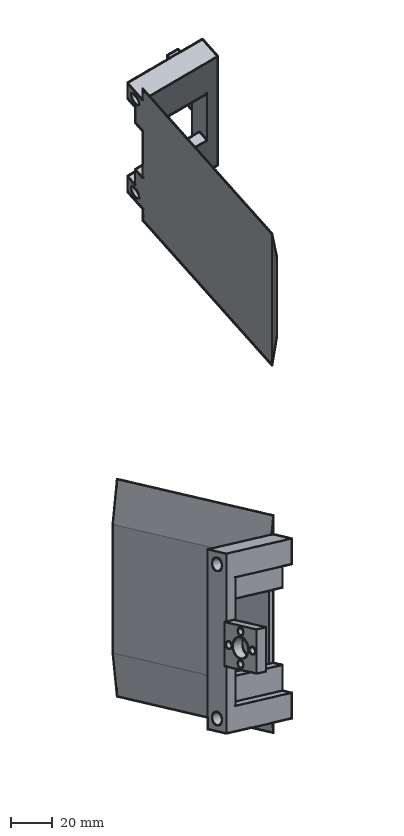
import cadquery as cq

total_length = 140.9
total_depth = 45.8
plate_height = 107.5

bar_width = 12.7
step = bar_width / 2
frame_height = 88.9
frame_depth = 44.5
arm_hole_diameter = 6.6

tab_side = 21.8
tab_thickness = 6.5
tab_bore_diameter = 10.5
tab_screw_diameter = 3.8
tab_screw_radius = 8.0

plate_thickness = 3.0

frame_left = tab_side
frame_right = frame_left + bar_width
recess_height = frame_height - 2 * bar_width
window_height = recess_height - 2 * bar_width
window_depth = frame_depth - step


def block(x_start, x_end, y_start, y_end, height):
    """Box between the given X and Y limits, centred on Z = 0."""
    return (
        cq.Workplane("XY")
        .box(x_end - x_start, y_end - y_start, height, centered=(False, False, True))
        .translate((x_start, y_start, 0))
    )


def hole(x, z, diameter):
    """Cylinder along Y that passes through the full depth of the part."""
    return cq.Workplane("XZ").center(x, z).circle(diameter / 2).extrude(-total_depth)


def make_frame():
    frame = block(frame_left, frame_right, 0, frame_depth, frame_height)
    frame = frame.cut(block(frame_left, frame_left + step, 0, window_depth, recess_height))
    frame = frame.cut(block(frame_left, frame_right, 0, window_depth, window_height))
    hole_height = (frame_height - bar_width) / 2
    for z in (-hole_height, hole_height):
        frame = frame.cut(hole(frame_left + bar_width / 2, z, arm_hole_diameter))
    return frame


def make_plate():
    profile = [
        (0, -plate_height / 2),
        (0, plate_height / 2),
        (plate_thickness, recess_height / 2),
        (plate_thickness, -recess_height / 2),
    ]
    return (
        cq.Workplane("YZ", origin=(frame_right, 0, 0))
        .polyline(profile)
        .close()
        .extrude(total_length - frame_right)
    )


def make_tab():
    tab = block(0, tab_side, total_depth - tab_thickness, total_depth, tab_side)
    center_x = tab_side / 2
    tab = tab.cut(hole(center_x, 0, tab_bore_diameter))
    for side in (-tab_screw_radius, tab_screw_radius):
        tab = tab.cut(hole(center_x + side, 0, tab_screw_diameter))
        tab = tab.cut(hole(center_x, side, tab_screw_diameter))
    return tab


result = make_frame().union(make_plate()).union(make_tab())